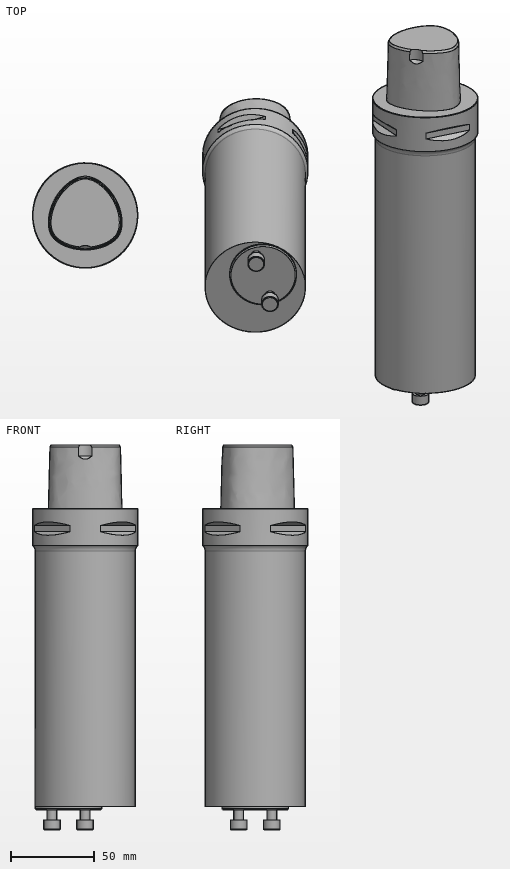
import cadquery as cq
import math


shank_height = 38.0
lobe_base_dia = 44.1
taper_per_length = 1 / 20
lobe_offset = 1.4
shank_top_chamfer_height = 1.4
shank_top_chamfer_width = 0.75
outline_points = 36

notch_radius = 6.0
notch_bite = 1.75
notch_depth = 6.6

flange_dia = 63.0
flange_height = 22.0
flange_top_chamfer = 0.3
slot_count = 4
slot_first_angle = 45.0
slot_z = -12.0
slot_depth = 3.7
slot_floor_width = 3.7
slot_flank_angle = 30.0

body_dia = 60.0
body_bottom_z = -178.0
neck_fillet_radius = 4.4

disc_dia = 40.0
disc_thickness = 2.0
disc_chamfer = 0.8
disc_x = -(body_dia - disc_dia) / 2

screw_offset = 9.9
screw_shank_dia = 6.0
screw_shank_length = 6.0
screw_head_dia = 10.0
screw_head_height = 6.0
screw_head_chamfer = 0.5


def lobe_dia_at(z):
    """Mean diameter of the tapered lobe outline at height z."""
    return lobe_base_dia - taper_per_length * z


def lobe_wire(mean_dia, z):
    """Closed constant-width outline with three rounded lobes, one pointing to +Y."""
    points = []
    for i in range(outline_points):
        angle = 2 * math.pi * i / outline_points
        along = (
            mean_dia / 2 * math.cos(angle)
            + 2 * lobe_offset * math.cos(2 * angle)
            - lobe_offset * math.cos(4 * angle)
        )
        across = (
            mean_dia / 2 * math.sin(angle)
            - 2 * lobe_offset * math.sin(2 * angle)
            - lobe_offset * math.sin(4 * angle)
        )
        points.append(cq.Vector(-across, along, z))
    return cq.Wire.assembleEdges([cq.Edge.makeSpline(points, periodic=True)])


def make_shank():
    """Tapered shank with a bevelled top edge."""
    bevel_z = shank_height - shank_top_chamfer_height
    bevel_dia = lobe_dia_at(bevel_z)
    top_dia = bevel_dia - 2 * shank_top_chamfer_width
    lower_wire = lobe_wire(lobe_base_dia, 0)
    bevel_wire = lobe_wire(bevel_dia, bevel_z)
    top_wire = lobe_wire(top_dia, shank_height)
    taper = cq.Solid.makeLoft([lower_wire, bevel_wire], True)
    bevel = cq.Solid.makeLoft([bevel_wire, top_wire], True)
    return cq.Workplane(taper).union(cq.Workplane(bevel))


def make_notch_cutter():
    """Upright round cutter with a 45 degree conical tip, standing partly inside the -Y side."""
    flat_side_y = lobe_offset - lobe_dia_at(shank_height) / 2
    axis_y = flat_side_y + notch_bite - notch_radius
    shoulder_z = shank_height - notch_depth
    return (
        cq.Workplane("XZ", origin=(0, axis_y, 0))
        .moveTo(0, shoulder_z - notch_radius)
        .lineTo(notch_radius, shoulder_z)
        .lineTo(notch_radius, shank_height)
        .lineTo(0, shank_height)
        .close()
        .revolve(360, (0, 0, 0), (0, 1, 0))
    )


def make_flange_and_body():
    """Flange and body as one revolved profile."""
    flange_radius = flange_dia / 2
    body_radius = body_dia / 2
    step = flange_radius - body_radius
    fillet_height = math.sqrt(neck_fillet_radius**2 - (neck_fillet_radius - step) ** 2)
    fillet_end_z = -flange_height - fillet_height
    half_sweep = math.asin(fillet_height / neck_fillet_radius) / 2
    fillet_mid_r = body_radius + neck_fillet_radius * (1 - math.cos(half_sweep))
    fillet_mid_z = fillet_end_z + neck_fillet_radius * math.sin(half_sweep)
    return (
        cq.Workplane("XZ")
        .moveTo(0, 0)
        .lineTo(flange_radius - flange_top_chamfer, 0)
        .lineTo(flange_radius, -flange_top_chamfer)
        .lineTo(flange_radius, -flange_height)
        .threePointArc((fillet_mid_r, fillet_mid_z), (body_radius, fillet_end_z))
        .lineTo(body_radius, body_bottom_z)
        .lineTo(0, body_bottom_z)
        .close()
        .revolve(360, (0, 0, 0), (0, 1, 0))
    )


def make_slot_cutter(angle):
    """Straight slot with flared flanks, cut across the flange rim at the given angle."""
    outer_r = flange_dia / 2
    floor_r = outer_r - slot_depth
    floor_half = slot_floor_width / 2
    mouth_half = floor_half + slot_depth * math.tan(math.radians(slot_flank_angle))
    return (
        cq.Workplane("XZ")
        .moveTo(floor_r, slot_z - floor_half)
        .lineTo(outer_r, slot_z - mouth_half)
        .lineTo(outer_r, slot_z + mouth_half)
        .lineTo(floor_r, slot_z + floor_half)
        .close()
        .extrude(outer_r, both=True)
        .rotate((0, 0, 0), (0, 0, 1), angle)
    )


def make_disc():
    """Eccentric disc with a bevelled lower edge, flush with the -X side of the body."""
    return (
        cq.Workplane("XY", origin=(disc_x, 0, body_bottom_z))
        .circle(disc_dia / 2)
        .extrude(-disc_thickness)
        .faces("<Z")
        .chamfer(disc_chamfer)
    )


def make_screw(x, y):
    """Screw hanging from the disc, head down."""
    disc_bottom_z = body_bottom_z - disc_thickness
    head_top_z = disc_bottom_z - screw_shank_length
    shank = (
        cq.Workplane("XY", origin=(x, y, body_bottom_z))
        .circle(screw_shank_dia / 2)
        .extrude(head_top_z - body_bottom_z)
    )
    head = (
        cq.Workplane("XY", origin=(x, y, head_top_z))
        .circle(screw_head_dia / 2)
        .extrude(-screw_head_height)
        .faces("<Z")
        .chamfer(screw_head_chamfer)
    )
    return shank.union(head)


result = make_flange_and_body()
for slot_index in range(slot_count):
    slot_angle = slot_first_angle + slot_index * 360 / slot_count
    result = result.cut(make_slot_cutter(slot_angle))

result = result.union(make_shank().cut(make_notch_cutter()))
result = result.union(make_disc())
for side in (-1, 1):
    result = result.union(make_screw(disc_x + side * screw_offset, -side * screw_offset))